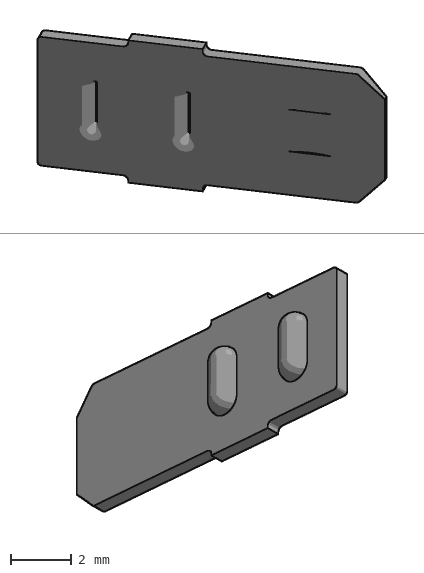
import cadquery as cq
import math

length = 11.89
body_height = 4.76
tab_height = 5.25
thickness = 0.52
end_corner_radius = 0.14

tab_start = 3.12
tab_end = 5.67
tab_root_radius = 0.18

tip_height = 2.97
tip_thickness = 0.21
taper_start = 11.1
tip_corner_radius = 0.18

rib_positions = (1.89, 5.08)
rib_straight = 1.46
rib_crest_width = 0.07
rib_rise = thickness
rib_half_width = rib_rise + rib_crest_width / 2

recess_center = 9.35
recess_width = 1.41
recess_height = 1.55
recess_depth = 0.1


def rectangle(width, height, x_center):
    """Block through the plate thickness, centred on Z = 0."""
    return (
        cq.Workplane("XZ", origin=(x_center, 0, 0))
        .rect(width, height)
        .extrude(-thickness)
    )


def make_plate():
    """Plate with tabs and 45-degree corners at the tip."""
    body = rectangle(length, body_height, length / 2)
    body = body.edges("|Y and <X").fillet(end_corner_radius)
    tip_chamfer = (body_height - tip_height) / 2
    body = body.edges("|Y and >X").chamfer(tip_chamfer)
    shoulder = length - tip_chamfer
    for side in (-1, 1):
        corner = (shoulder, thickness / 2, side * body_height / 2)
        body = body.edges(cq.selectors.NearestToPointSelector(corner)).fillet(tip_corner_radius)
    tabs = rectangle(tab_end - tab_start, tab_height, (tab_start + tab_end) / 2)
    plate = body.union(tabs)
    for x in (tab_start, tab_end):
        for side in (-1, 1):
            root = (x, thickness / 2, side * body_height / 2)
            plate = plate.edges(cq.selectors.NearestToPointSelector(root)).fillet(tab_root_radius)
    return plate


def taper_tip(plate):
    """Slope both faces symmetrically down to the tip thickness."""
    tip_inset = (thickness - tip_thickness) / 2
    front_wedge = (
        cq.Workplane("XY")
        .polyline([(taper_start, 0), (length, 0), (length, tip_inset)])
        .close()
        .extrude(body_height / 2, both=True)
    )
    back_wedge = front_wedge.mirror("XZ").translate((0, thickness, 0))
    return plate.cut(front_wedge).cut(back_wedge)


def sweep_rib(half_profile, x):
    """Carry a half profile along the straight rib and around its two ends."""
    half_straight = rib_straight / 2
    half_bar = half_profile().extrude(half_straight, both=True)
    end = half_profile().revolve(360, (0, 0, 0), (0, 1, 0))
    rib = half_bar.union(half_bar.mirror("YZ"))
    for z in (-half_straight, half_straight):
        rib = rib.union(end.translate((0, 0, z)))
    return rib.translate((x, 0, 0))


def dome_profile():
    """Half section of the rounded ridge standing on the back face."""
    crest = rib_crest_width / 2
    diagonal = rib_rise * math.sqrt(0.5)
    return (
        cq.Workplane("XY")
        .moveTo(0, thickness)
        .lineTo(rib_half_width, thickness)
        .threePointArc((crest + diagonal, thickness + diagonal), (crest, thickness + rib_rise))
        .lineTo(0, thickness + rib_rise)
        .close()
    )


def dimple_profile():
    """Half section of the groove whose convex walls roll in from the front face to a narrow floor."""
    crest = rib_crest_width / 2
    diagonal = rib_rise * math.sqrt(0.5)
    return (
        cq.Workplane("XY")
        .lineTo(rib_half_width, 0)
        .threePointArc((rib_half_width - diagonal, rib_rise - diagonal), (crest, rib_rise))
        .lineTo(0, rib_rise)
        .close()
    )


def make_recess():
    """Shallow hollow with a floor curved about a vertical axis."""
    half_width = recess_width / 2
    return (
        cq.Workplane("XY")
        .moveTo(recess_center - half_width, 0)
        .threePointArc((recess_center, recess_depth), (recess_center + half_width, 0))
        .close()
        .extrude(recess_height / 2, both=True)
    )


result = taper_tip(make_plate())
for rib_x in rib_positions:
    result = result.union(sweep_rib(dome_profile, rib_x)).cut(sweep_rib(dimple_profile, rib_x))
result = result.cut(make_recess())